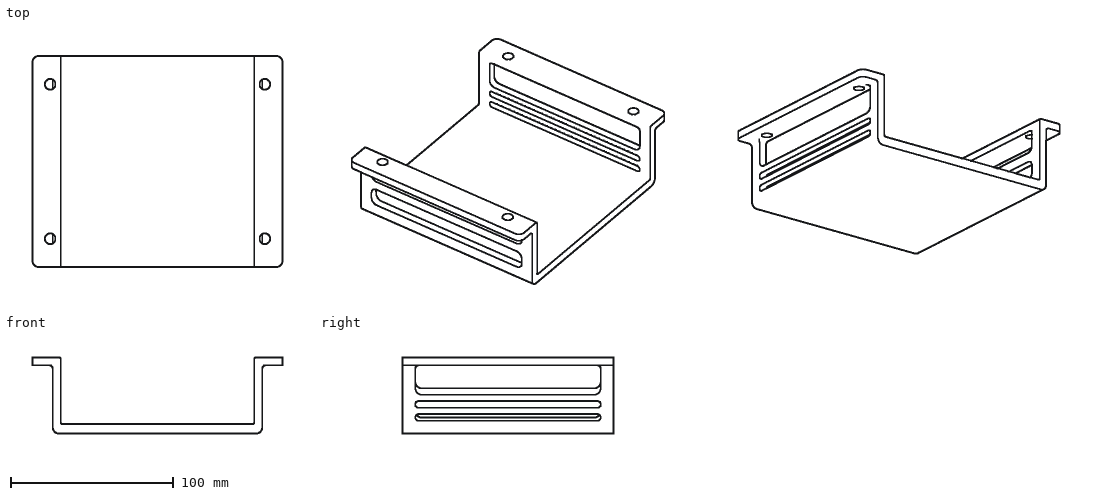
import cadquery as cq

width = 154.0
depth = 130.0
height = 47.0

flange_reach = 12.5
wall_thickness = 5.0
floor_thickness = 6.0
flange_thickness = 5.0
bottom_edge_radius = 4.0
floor_corner_radius = 1.0
flange_corner_radius = 2.0
flange_tip_radius = 4.0
rim_radius = 1.0

wall_outer_x = width / 2 - flange_reach
wall_inner_x = wall_outer_x - wall_thickness
flange_bottom_z = height - flange_thickness

hole_diameter = 6.5
hole_inset_x = 11.0
hole_inset_y = 17.5

opening_length = 114.0
opening_corner_radius = 4.0
left_window_bottom_z = 28.0
right_window_bottom_z = 24.0
window_top_corner_radius = 2.0
wide_slot_bottom_z = 10.0
wide_slot_top_z = 22.0
narrow_slot_height = 4.0
narrow_slot_pitch = 8.0
narrow_slot_count = 2
lowest_narrow_slot_z = 8.0

cutter_outer_x = wall_outer_x + flange_corner_radius

LEFT = -1
RIGHT = 1


def box_between(x_start, x_end, z_bottom, z_top, length=depth):
    """Box spanning the given X and Z ranges, centred along Y."""
    return cq.Workplane("XY").box(
        x_end - x_start, length, z_top - z_bottom, centered=(False, True, False)
    ).translate((x_start, 0, z_bottom))


def make_channel():
    """Flanged U channel running along Y, with its bends and inner rims rounded."""
    half_width = width / 2
    body = box_between(-wall_outer_x, wall_outer_x, 0, height)
    body = body.edges("|Y and <Z").fillet(bottom_edge_radius)
    cavity = box_between(-wall_inner_x, wall_inner_x, floor_thickness, height)
    cavity = cavity.edges("|Y and <Z").fillet(floor_corner_radius)
    flanges = box_between(-half_width, half_width, flange_bottom_z, height)
    flanges = flanges.edges("|Z").fillet(flange_tip_radius)
    body = body.union(flanges)
    for side in (LEFT, RIGHT):
        corner = cq.selectors.NearestToPointSelector((side * wall_outer_x, 0, flange_bottom_z))
        body = body.edges(corner).fillet(flange_corner_radius)
    body = body.cut(cavity)
    for side in (LEFT, RIGHT):
        rim = cq.selectors.NearestToPointSelector((side * wall_inner_x, 0, height))
        body = body.edges(rim).fillet(rim_radius)
    return body


def opening_block(side, z_bottom, z_top):
    """Square-cornered cutter through one side wall."""
    if side == LEFT:
        return box_between(-cutter_outer_x, -wall_inner_x, z_bottom, z_top, opening_length)
    return box_between(wall_inner_x, cutter_outer_x, z_bottom, z_top, opening_length)


def window_cutter(side, z_bottom):
    """Window reaching up to the flange, with tighter corners at its top."""
    block = opening_block(side, z_bottom, flange_bottom_z)
    block = block.edges("|X and <Z").fillet(opening_corner_radius)
    return block.edges("|X and >Z").fillet(window_top_corner_radius)


def wide_slot_cutter():
    """Wide round-cornered slot through the left wall."""
    block = opening_block(LEFT, wide_slot_bottom_z, wide_slot_top_z)
    return block.edges("|X").fillet(opening_corner_radius)


def narrow_slot_cutter(z_bottom):
    """Narrow slot with fully rounded ends through the right wall."""
    z_center = z_bottom + narrow_slot_height / 2
    return (
        cq.Workplane("YZ", origin=(wall_inner_x, 0, z_center))
        .slot2D(opening_length, narrow_slot_height)
        .extrude(wall_thickness)
    )


def cut_wall_openings(body):
    """A window in both walls, one wide slot on the left and narrow slots on the right."""
    body = body.cut(window_cutter(LEFT, left_window_bottom_z))
    body = body.cut(window_cutter(RIGHT, right_window_bottom_z))
    body = body.cut(wide_slot_cutter())
    for index in range(narrow_slot_count):
        body = body.cut(narrow_slot_cutter(lowest_narrow_slot_z + index * narrow_slot_pitch))
    return body


def drill_mounting_holes(body):
    """Four through holes, two in each flange."""
    spacing_x = width - 2 * hole_inset_x
    spacing_y = depth - 2 * hole_inset_y
    drills = (
        cq.Workplane("XY", origin=(0, 0, flange_bottom_z))
        .rect(spacing_x, spacing_y, forConstruction=True)
        .vertices()
        .circle(hole_diameter / 2)
        .extrude(flange_thickness)
    )
    return body.cut(drills)


channel = make_channel()
channel = cut_wall_openings(channel)
result = drill_mounting_holes(channel)